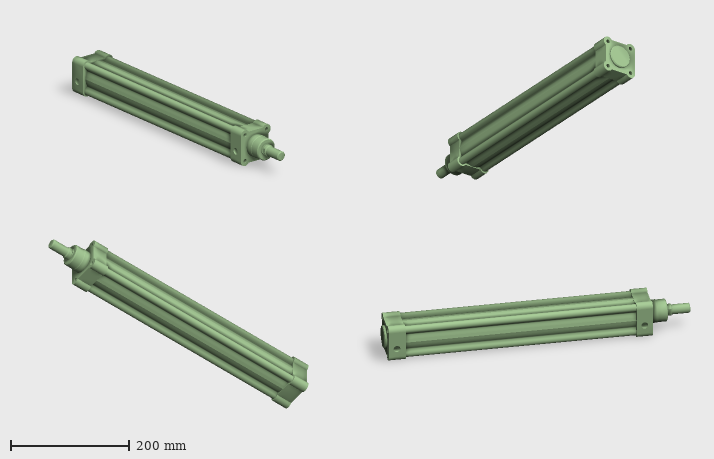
import cadquery as cq
import math

total_length = 529.0
spigot_length = 4.0
rear_cap_length = 29.5
front_cap_start = 432.0
front_cap_length = 28.0
rear_cap_end = spigot_length + rear_cap_length
front_cap_end = front_cap_start + front_cap_length

cap_width = 64.5
cap_recessed_width = 56.0
screw_spacing = 46.5
screw_hole_diameter = 7.0
lobe_radius = (cap_width - screw_spacing) / 2

port_diameter = 11.5
port_depth = 10.5
port_z = -8.0
rear_port_x = 18.5
front_port_x = 445.5

spigot_diameter = 40.0
spigot_chamfer = 1.5
nose_diameter = 39.5
nose_step_x = 471.0
nose_step = 0.5
nose_taper_length = 1.0
nose_end = 488.5
nose_chamfer = 1.5
lip_diameter = 21.5
lip_end = 490.0

barrel_width = 59.0
core_radius = 27.0
ridge_angle = 12.0
barrel_lobe_radius = 6.5
root_fillet = 1.5
edge_tolerance = 0.05

rod_diameter = 20.0
thread_diameter = 17.0
thread_start = 498.0
thread_chamfer = 1.5
flat_start = 490.5
flat_length = 5.5
flat_spacing = 17.0


def x_cylinder(diameter, start, end):
    """Round bar on the cylinder axis between two X positions."""
    return cq.Workplane("YZ").workplane(offset=start).circle(diameter / 2).extrude(end - start)


def make_cap(start, length, port_x):
    """End cap: lobed plate, flat on the -Y side, with screw holes and an air port."""
    plate_front = -cap_width / 2
    plate_back = cap_recessed_width / 2
    section = cq.Workplane("YZ").workplane(offset=start)
    plate = section.center((plate_front + plate_back) / 2, 0).rect(
        plate_back - plate_front, screw_spacing
    ).extrude(length)
    body = section.rect(screw_spacing, cap_recessed_width).extrude(length)
    lobes = section.rect(screw_spacing, screw_spacing, forConstruction=True).vertices()
    lobes = lobes.circle(lobe_radius).extrude(length)
    holes = section.rect(screw_spacing, screw_spacing, forConstruction=True).vertices()
    holes = holes.circle(screw_hole_diameter / 2).extrude(length)
    port = (
        cq.Workplane("XZ", origin=(port_x, -cap_width / 2, port_z))
        .circle(port_diameter / 2)
        .extrude(-port_depth)
    )
    return body.union(plate).union(lobes).cut(holes).cut(port)


def make_rear_cap():
    """Rear cap with a chamfered round spigot on its outer face."""
    spigot = x_cylinder(spigot_diameter, 0, spigot_length).faces("<X").chamfer(spigot_chamfer)
    return make_cap(spigot_length, rear_cap_length, rear_port_x).union(spigot)


def make_front_cap():
    """Front cap with a stepped nose and a rod-seal lip, bored through for the rod."""
    nose = x_cylinder(nose_diameter, front_cap_end, nose_step_x)
    taper_end = nose_step_x + nose_taper_length
    tip_diameter = nose_diameter - 2 * nose_step
    taper = (
        cq.Workplane("YZ", origin=(nose_step_x, 0, 0))
        .circle(nose_diameter / 2)
        .workplane(offset=nose_taper_length)
        .circle(tip_diameter / 2)
        .loft()
    )
    tip = x_cylinder(tip_diameter, taper_end, nose_end)
    tip = tip.faces(">X").chamfer(nose_chamfer)
    lip = x_cylinder(lip_diameter, nose_end, lip_end)
    bore = x_cylinder(rod_diameter, front_cap_start, lip_end)
    cap = make_cap(front_cap_start, front_cap_length, front_port_x)
    return cap.union(nose).union(taper).union(tip).union(lip).cut(bore)


def make_barrel():
    """Extruded barrel: a round core, a shallow ridge along each side and a lobe at each corner."""
    length = front_cap_start - rear_cap_end
    section = cq.Workplane("YZ").workplane(offset=rear_cap_end)
    ridge_slope = math.radians(ridge_angle)
    ridge_top = core_radius / math.cos(ridge_slope)
    ridge_foot = core_radius * math.cos(ridge_slope)
    ridge_half_width = core_radius * math.sin(ridge_slope)
    lobe_center = barrel_width / 2 - barrel_lobe_radius
    tangent_offset = barrel_lobe_radius * math.sqrt(0.5)
    tangent_outer = lobe_center + tangent_offset
    tangent_inner = lobe_center - tangent_offset
    flank_root = tangent_outer - tangent_inner

    barrel = section.circle(core_radius).extrude(length)
    for quarter in range(4):
        turn = 90 * quarter
        ridge = section.polyline(
            [(0, 0), (ridge_foot, -ridge_half_width), (ridge_top, 0), (ridge_foot, ridge_half_width)]
        ).close().extrude(length)
        lobe = section.center(lobe_center, lobe_center).circle(barrel_lobe_radius).extrude(length)
        web = section.polyline(
            [
                (0, 0),
                (flank_root, 0),
                (tangent_outer, tangent_inner),
                (tangent_inner, tangent_outer),
                (0, flank_root),
            ]
        ).close().extrude(length)
        for feature in (ridge, lobe, web):
            barrel = barrel.union(feature.rotate((0, 0, 0), (1, 0, 0), turn))

    def is_flank_root(edge):
        """Concave corner between the round core and a lobe flank."""
        center = edge.Center()
        on_core = abs(math.hypot(center.y, center.z) - core_radius) < edge_tolerance
        return on_core and min(abs(center.y), abs(center.z)) > ridge_half_width + edge_tolerance

    flank_roots = [edge for edge in barrel.edges("|X").vals() if is_flank_root(edge)]
    return barrel.newObject(flank_roots).fillet(root_fillet)


def make_rod():
    """Piston rod with a pair of spanner flats and a chamfered threaded end."""
    shank = x_cylinder(rod_diameter, front_cap_start, thread_start)
    shank = shank.faces(">X").chamfer((rod_diameter - thread_diameter) / 2)
    thread = x_cylinder(thread_diameter, thread_start, total_length).faces(">X").chamfer(thread_chamfer)
    flat_offset = (rod_diameter + flat_spacing) / 2
    flats = cq.Workplane("XY").box(flat_length, rod_diameter, rod_diameter, centered=(False, True, True))
    for side in (-1, 1):
        shank = shank.cut(flats.translate((flat_start, side * flat_offset, 0)))
    return shank.union(thread)


rear_cap = make_rear_cap()
barrel = make_barrel()
front_cap = make_front_cap()
rod = make_rod()

result = cq.Compound.makeCompound([rear_cap.val(), barrel.val(), front_cap.val(), rod.val()])